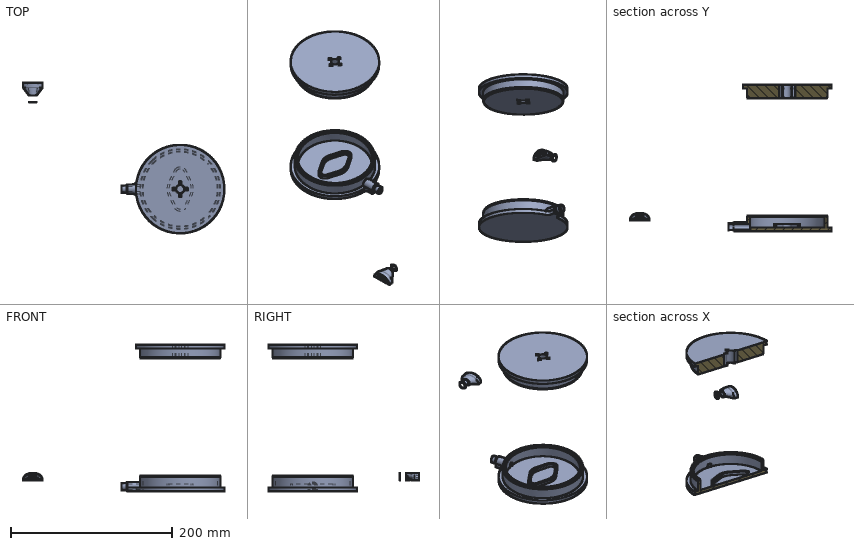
import cadquery as cq
import math

FLANGE_DIAMETER = 110.0
WALL_DIAMETER = 100.0
CAVITY_DIAMETER = 92.0
FLANGE_THICKNESS = 5.0
RIM_CHAMFER_LENGTH = 2.0
RIM_CHAMFER_DEPTH = 1.0

BASE_HEIGHT = 20.0
FLOOR_HEIGHT = 5.0

RIB_HEIGHT = 4.0
RIB_WALL = 2.5
RIB_HALF_WIDTH = 16.2
RIB_HALF_LENGTH = 27.5
RIB_EDGE_ANGLE = 26.0
RIB_END_RADIUS = 8.0

SPOUT_DIAMETER = 12.0
SPOUT_SHOULDER_X = -66.5
SPOUT_CHAMFER_LENGTH = 1.5
SPOUT_CHAMFER_DEPTH = 1.0
SPOUT_TIP_X = -73.0
SPOUT_TIP_DIAMETER = 9.2
SPOUT_TIP_CHAMFER = 0.5
SPOUT_BORE_DIAMETER = 6.5
LUG_FILLET = 4.5

LID_TOP_Z = 181.96
LID_PLUG_HEIGHT = 12.0
LID_CENTRE_HOLE_DIAMETER = 10.2
LID_SMALL_HOLE_DIAMETER = 3.5
LID_SMALL_HOLE_CIRCLE_RADIUS = 8.0
LID_SMALL_HOLE_COUNT = 4

NOZZLE_X = -182.7
NOZZLE_BOTTOM_Z = 13.7
NOZZLE_BACK_Y = 131.85
NOZZLE_HALF_WIDTH = 12.2
NOZZLE_HEIGHT = 9.5
NOZZLE_MOUTH_LENGTH = 6.0
NOZZLE_TAPER_LENGTH = 10.0
NOZZLE_BORE_DIAMETER = 7.5
NOZZLE_SLOT_WIDTH = 14.0
NOZZLE_SLOT_HEIGHT = 2.6

RING_BACK_Y = 108.2
RING_THICKNESS = 0.8
RING_HOLE_DIAMETER = 7.5
RING_CHAMFER = 0.7


def disc(diameter, bottom_z, height):
    return cq.Workplane("XY").workplane(offset=bottom_z).circle(diameter / 2).extrude(height)


def chamfered_cylinder(diameter, plane_name, root, length, chamfer_length, chamfer_depth):
    """Cylinder grown from root along the plane normal, with a chamfer at its far end."""
    straight = length - math.copysign(chamfer_length, length)
    plane = cq.Workplane(plane_name, origin=root)
    cylinder = plane.circle(diameter / 2).extrude(straight)
    cone = (
        plane.workplane(offset=straight)
        .circle(diameter / 2)
        .workplane(offset=length - straight)
        .circle(diameter / 2 - chamfer_depth)
        .loft(ruled=True)
    )
    return cylinder.union(cone)


def rim_cylinder(root_z, length):
    """Outer wall of the dish or lid plug, chamfered at the end away from its flange."""
    return chamfered_cylinder(
        WALL_DIAMETER, "XY", (0, 0, root_z), length, RIM_CHAMFER_LENGTH, RIM_CHAMFER_DEPTH
    )


def x_cylinder(diameter, start_x, end_x):
    plane = cq.Workplane("YZ", origin=(start_x, 0, SPOUT_DIAMETER / 2))
    return plane.circle(diameter / 2).extrude(end_x - start_x)


def rounded_diamond(inset, bottom_z, height):
    """Diamond prism, long along Y, with an arc on each of its four corners, shrunk by inset."""
    normal_x = math.cos(math.radians(RIB_EDGE_ANGLE))
    normal_y = math.sin(math.radians(RIB_EDGE_ANGLE))
    end_radius = RIB_END_RADIUS - inset
    end_centre = RIB_HALF_LENGTH - RIB_END_RADIUS
    edge_distance = end_centre * normal_y + end_radius
    half_width = RIB_HALF_WIDTH - inset
    side_radius = (edge_distance - half_width * normal_x) / (1 - normal_x)
    side_centre = half_width - side_radius
    side_x = side_centre + side_radius * normal_x
    side_y = side_radius * normal_y
    end_x = end_radius * normal_x
    end_y = end_centre + end_radius * normal_y
    return (
        cq.Workplane("XY").workplane(offset=bottom_z)
        .moveTo(side_x, -side_y)
        .threePointArc((half_width, 0), (side_x, side_y))
        .lineTo(end_x, end_y)
        .threePointArc((0, end_centre + end_radius), (-end_x, end_y))
        .lineTo(-side_x, side_y)
        .threePointArc((-half_width, 0), (-side_x, -side_y))
        .lineTo(-end_x, -end_y)
        .threePointArc((0, -end_centre - end_radius), (end_x, -end_y))
        .close()
        .extrude(height)
    )


def make_lug():
    """Flat lug below the spout, joined to the flange edge by a concave fillet on each side."""
    half_width = SPOUT_DIAMETER / 2
    flange_radius = FLANGE_DIAMETER / 2
    fillet_y = half_width + LUG_FILLET
    centre_distance = flange_radius + LUG_FILLET
    fillet_x = -math.sqrt(centre_distance ** 2 - fillet_y ** 2)
    tangent_x = fillet_x * flange_radius / centre_distance
    tangent_y = fillet_y * flange_radius / centre_distance
    middle_angle = (math.atan2(-fillet_y, -fillet_x) - math.pi / 2) / 2
    middle_x = fillet_x + LUG_FILLET * math.cos(middle_angle)
    middle_y = fillet_y + LUG_FILLET * math.sin(middle_angle)
    shoulder_x = SPOUT_SHOULDER_X + SPOUT_CHAMFER_LENGTH
    return (
        cq.Workplane("XY")
        .moveTo(shoulder_x, -half_width)
        .lineTo(fillet_x, -half_width)
        .threePointArc((middle_x, -middle_y), (tangent_x, -tangent_y))
        .lineTo(tangent_x, tangent_y)
        .threePointArc((middle_x, middle_y), (fillet_x, half_width))
        .lineTo(shoulder_x, half_width)
        .close()
        .extrude(FLANGE_THICKNESS)
    )


def make_base():
    cavity_height = BASE_HEIGHT - FLOOR_HEIGHT
    body = rim_cylinder(0, BASE_HEIGHT)
    body = body.union(disc(FLANGE_DIAMETER, 0, FLANGE_THICKNESS))
    body = body.union(make_lug())

    barrel_root = (-CAVITY_DIAMETER / 2, 0, SPOUT_DIAMETER / 2)
    barrel_length = SPOUT_SHOULDER_X + CAVITY_DIAMETER / 2
    barrel = chamfered_cylinder(
        SPOUT_DIAMETER, "YZ", barrel_root, barrel_length, SPOUT_CHAMFER_LENGTH, SPOUT_CHAMFER_DEPTH
    )
    body = body.union(barrel)
    tip = x_cylinder(SPOUT_TIP_DIAMETER, SPOUT_TIP_X, SPOUT_SHOULDER_X)
    body = body.union(tip.faces("<X").edges().chamfer(SPOUT_TIP_CHAMFER))

    cavity = disc(CAVITY_DIAMETER, FLOOR_HEIGHT, cavity_height)
    rim_plane = cq.Workplane("XY").workplane(offset=BASE_HEIGHT)
    rim_cone = (
        rim_plane.circle(CAVITY_DIAMETER / 2 + RIM_CHAMFER_DEPTH)
        .workplane(offset=-RIM_CHAMFER_LENGTH)
        .circle(CAVITY_DIAMETER / 2)
        .loft(ruled=True)
    )
    body = body.cut(cavity).cut(rim_cone)
    bore = x_cylinder(SPOUT_BORE_DIAMETER, SPOUT_TIP_X, 0)
    body = body.cut(bore.cut(disc(CAVITY_DIAMETER, 0, FLOOR_HEIGHT)))

    rib = rounded_diamond(0, FLOOR_HEIGHT, RIB_HEIGHT)
    rib = rib.cut(rounded_diamond(RIB_WALL, FLOOR_HEIGHT, RIB_HEIGHT))
    return body.union(rib)


def make_lid():
    height = FLANGE_THICKNESS + LID_PLUG_HEIGHT
    bottom_z = LID_TOP_Z - height
    body = rim_cylinder(LID_TOP_Z, -height)
    body = body.union(disc(FLANGE_DIAMETER, LID_TOP_Z - FLANGE_THICKNESS, FLANGE_THICKNESS))
    body = body.cut(disc(LID_CENTRE_HOLE_DIAMETER, bottom_z, height))
    small_holes = (
        cq.Workplane("XY").workplane(offset=bottom_z)
        .polarArray(LID_SMALL_HOLE_CIRCLE_RADIUS, 0, 360, LID_SMALL_HOLE_COUNT)
        .circle(LID_SMALL_HOLE_DIAMETER / 2)
        .extrude(height)
    )
    return body.cut(small_holes)


def half_oval(y):
    """Flat-bottomed half ellipse in the XZ plane at the given y."""
    plane = cq.Workplane("XZ", origin=(NOZZLE_X, y, NOZZLE_BOTTOM_Z))
    return (
        plane.moveTo(NOZZLE_HALF_WIDTH, 0)
        .ellipseArc(NOZZLE_HALF_WIDTH, NOZZLE_HEIGHT, 0, 180, startAtCurrent=True)
        .close()
    )


def make_nozzle():
    """Half-oval mouth, a loft down to the round tip, and a passage that flattens into a slot."""
    mouth = half_oval(NOZZLE_BACK_Y).extrude(NOZZLE_MOUTH_LENGTH)
    taper = (
        half_oval(NOZZLE_BACK_Y - NOZZLE_MOUTH_LENGTH)
        .workplane(offset=NOZZLE_TAPER_LENGTH)
        .center(0, NOZZLE_HEIGHT / 2)
        .circle(NOZZLE_HEIGHT / 2)
        .loft(combine=True)
    )
    passage = (
        cq.Workplane("XZ", origin=(NOZZLE_X, NOZZLE_BACK_Y, NOZZLE_BOTTOM_Z + NOZZLE_HEIGHT / 2))
        .rect(NOZZLE_SLOT_WIDTH, NOZZLE_SLOT_HEIGHT)
        .workplane(offset=NOZZLE_MOUTH_LENGTH + NOZZLE_TAPER_LENGTH)
        .circle(NOZZLE_BORE_DIAMETER / 2)
        .loft(combine=True)
    )
    return mouth.union(taper).cut(passage)


def make_ring():
    centre = (NOZZLE_X, RING_BACK_Y, NOZZLE_BOTTOM_Z + NOZZLE_HEIGHT / 2)
    plate = cq.Workplane("XZ", origin=centre).circle(NOZZLE_HEIGHT / 2).extrude(RING_THICKNESS)
    plate = plate.faces("<Y").edges().chamfer(RING_CHAMFER)
    hole = cq.Workplane("XZ", origin=centre).circle(RING_HOLE_DIAMETER / 2).extrude(RING_THICKNESS)
    return plate.cut(hole)


base = make_base()
lid = make_lid()
nozzle = make_nozzle()
ring = make_ring()

result = cq.Compound.makeCompound([base.val(), lid.val(), nozzle.val(), ring.val()])